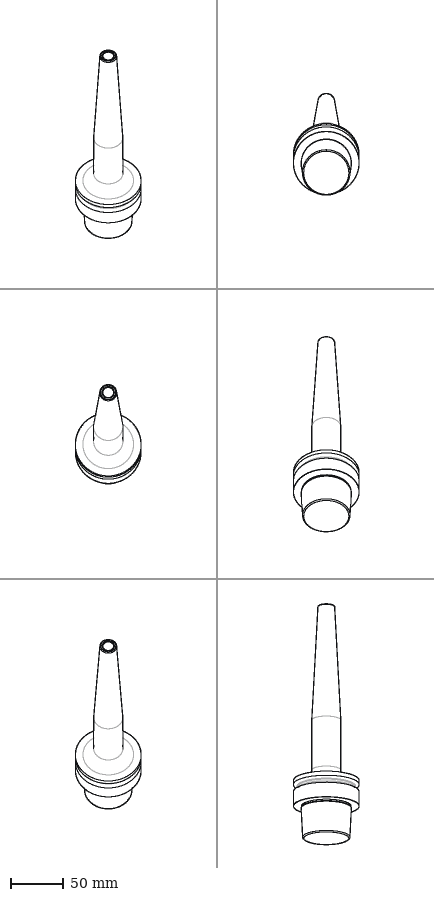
import cadquery as cq

total_height = 232.0
seat_height = 32.0
flange_top = 57.7
groove_bottom = 46.5
groove_top = 53.5
groove_flank_height = 2.0
relief_height = 2.0
relief_step = 0.7
cone_start = 117.8

flange_radius = 31.5
groove_radius = 27.5
taper_small_radius = 22.7
taper_large_radius = 24.1
relief_radius = 24.0
shank_diameter = 28.0
shank_radius = shank_diameter / 2
tip_radius = 8.1
bore_radius = 5.0

root_fillet = 10.2
groove_fillet = 1.0
taper_chamfer = 1.2
flange_chamfer = 0.2
tip_chamfer = 1.0
bore_chamfer = 0.7
bore_depth = 41.0


def make_body():
    """Revolve the half section of the holder; section coordinates are (radius, height)."""
    fillet_center = (shank_radius + root_fillet, flange_top + root_fillet)
    diagonal = root_fillet * 0.5 ** 0.5
    fillet_middle = (fillet_center[0] - diagonal, fillet_center[1] - diagonal)
    section = (
        cq.Workplane("XZ")
        .lineTo(taper_small_radius - taper_chamfer, 0)
        .lineTo(taper_small_radius, taper_chamfer)
        .lineTo(taper_large_radius, seat_height - relief_height)
        .lineTo(relief_radius, seat_height - relief_height + relief_step)
        .lineTo(relief_radius, seat_height)
        .lineTo(flange_radius - flange_chamfer, seat_height)
        .lineTo(flange_radius, seat_height + flange_chamfer)
        .lineTo(flange_radius, flange_top)
        .lineTo(fillet_center[0], flange_top)
        .threePointArc(fillet_middle, (shank_radius, fillet_center[1]))
        .lineTo(shank_radius, cone_start)
        .lineTo(tip_radius, total_height - tip_chamfer)
        .lineTo(tip_radius - tip_chamfer, total_height)
        .lineTo(0, total_height)
        .close()
    )
    return section.revolve(360, (0, 0, 0), (0, 1, 0))


def make_gripper_groove():
    """Ring that cuts the V-shaped gripper groove, rounded along both edges of its floor."""
    section = (
        cq.Workplane("XZ")
        .moveTo(flange_radius, groove_bottom)
        .lineTo(groove_radius, groove_bottom + groove_flank_height)
        .lineTo(groove_radius, groove_top - groove_flank_height)
        .lineTo(flange_radius, groove_top)
        .close()
    )
    ring = section.revolve(360, (0, 0, 0), (0, 1, 0))
    floor_edges = cq.selectors.RadiusNthSelector(0)
    return ring.edges(floor_edges).fillet(groove_fillet)


def make_tool_bore():
    """Blind tool bore in the tip, with a chamfered mouth."""
    bore_floor = total_height - bore_depth
    section = (
        cq.Workplane("XZ")
        .moveTo(0, bore_floor)
        .lineTo(bore_radius, bore_floor)
        .lineTo(bore_radius, total_height - bore_chamfer)
        .lineTo(bore_radius + bore_chamfer, total_height)
        .lineTo(0, total_height)
        .close()
    )
    return section.revolve(360, (0, 0, 0), (0, 1, 0))


result = make_body().cut(make_gripper_groove()).cut(make_tool_bore())